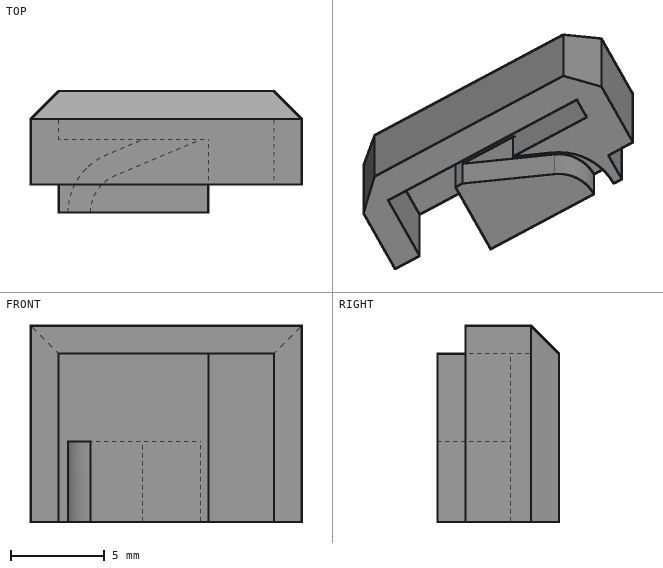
import cadquery as cq
import math

width = 14.5
height = 10.5
body_depth = 5.0
wall = 1.5

block_width = 8.0
block_depth = 3.9
block_proud = 1.5

channel_width = 1.2
channel_height = 4.3
channel_inset = 0.5
channel_outer_radius = 3.35
channel_bend_angle = math.radians(67.2)

left = -width / 2
inner_left = left + wall
inner_width = width - 2 * wall
inner_height = height - wall
cavity_depth = body_depth - wall
block_front = -block_proud


def box(x, y, size_x, size_y, size_z):
    """Box standing on z = 0, given by its left front corner and its size."""
    return cq.Workplane("XY").box(size_x, size_y, size_z, centered=False).translate((x, y, 0))


def make_body():
    """Plate whose left, right and top rear edges are bevelled by one wall thickness."""
    plate = box(left, 0, width, body_depth, height)
    return plate.faces(">Y").edges("|Z or >Z").chamfer(wall)


def make_cavity():
    """Space inside the body, open at the front and at the bottom."""
    return box(inner_left, 0, inner_width, cavity_depth, inner_height)


def make_channel():
    """Channel entering at the block's front, bending to the right, then running straight out."""
    inner_radius = channel_outer_radius - channel_width
    centre_x = inner_left + channel_inset + channel_outer_radius
    straight_length = block_width

    def on_arc(radius, angle):
        """Point on an arc about the bend centre, with the angle measured from the front face."""
        return (centre_x - radius * math.cos(angle), block_front + radius * math.sin(angle))

    def straight_end(radius):
        """Far end of the straight run that continues the arc of the given radius."""
        x, y = on_arc(radius, channel_bend_angle)
        run_x = straight_length * math.sin(channel_bend_angle)
        run_y = straight_length * math.cos(channel_bend_angle)
        return (x + run_x, y + run_y)

    half_bend = channel_bend_angle / 2
    return (
        cq.Workplane("XY")
        .moveTo(*on_arc(channel_outer_radius, 0))
        .threePointArc(
            on_arc(channel_outer_radius, half_bend),
            on_arc(channel_outer_radius, channel_bend_angle),
        )
        .lineTo(*straight_end(channel_outer_radius))
        .lineTo(*straight_end(inner_radius))
        .lineTo(*on_arc(inner_radius, channel_bend_angle))
        .threePointArc(on_arc(inner_radius, half_bend), on_arc(inner_radius, 0))
        .close()
        .extrude(channel_height)
    )


def make_block():
    """Block with the curved channel through its lower part."""
    block = box(inner_left, block_front, block_width, block_depth, inner_height)
    return block.cut(make_channel())


result = make_body().cut(make_cavity()).union(make_block())